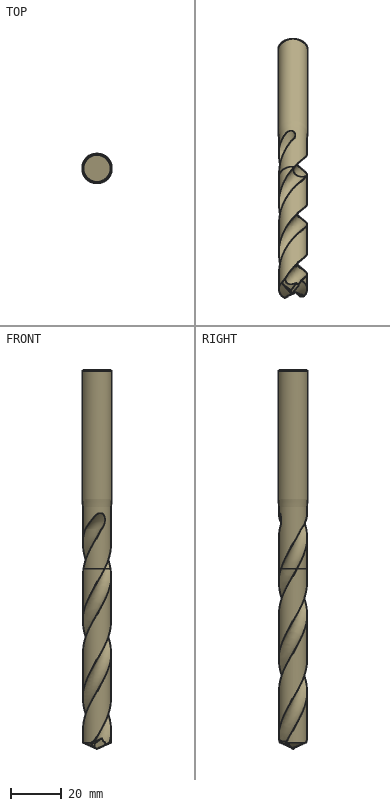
import cadquery as cq
import math

total_length = 151.0
shank_diameter = 12.0
drill_diameter = 11.3
shank_start = 99.7
neck_start = 96.3
split_height = 71.7
point_height = 2.5
shank_chamfer = 0.6

flute_count = 2
flute_lead = 61.5
flute_radius = 3.5
core_radius = 1.8
flute_side_height = 13.9
flute_helix_end = 87.6
runout_height = 3.9
runout_side_slope = 1.28
cutter_margin = 1.5

shank_radius = shank_diameter / 2
drill_radius = drill_diameter / 2
flute_offset = core_radius + flute_radius

web_half_thickness = 0.3
gash_yaw = -20.0
gash_heel = -0.8
gash_heel_height = 2.3
gash_peak = 2.7
gash_peak_height = 4.7
gash_side = 3.6
gash_side_height = 2.7


def flute_angle(height):
    """Direction in degrees that the first flute faces at a height."""
    return 180 + 360 * (height - flute_side_height) / flute_lead


def helical_cutter(bottom, top):
    """Twisted round bar that follows the first flute between two heights."""
    length = top - bottom
    return (
        cq.Workplane("XY")
        .moveTo(flute_offset, 0)
        .circle(flute_radius)
        .twistExtrude(length, 360 * length / flute_lead)
        .rotate((0, 0, 0), (0, 0, 1), flute_angle(bottom))
        .translate((0, 0, bottom))
    )


def runout_cutter():
    """Round bar that leaves the helix sideways and curves out of the body."""
    travel = runout_height * math.hypot(1.5, runout_side_slope)
    lift = drill_radius + flute_radius - flute_offset
    bend_radius = (travel**2 + lift**2) / (2 * lift)
    bend_angle = math.degrees(2 * math.atan(lift / travel))
    pivot = (bend_radius, 0, 0)
    pivot_end = (bend_radius, 1.5, -runout_side_slope)
    return (
        cq.Workplane("XY", origin=(flute_offset, 0, flute_helix_end))
        .circle(flute_radius)
        .revolve(bend_angle, pivot, pivot_end)
        .rotate((0, 0, 0), (0, 0, 1), flute_angle(flute_helix_end))
    )


def gash_cutter():
    """Upright prism with a sloping roof that thins the web beside one flute."""
    return (
        cq.Workplane("XZ", origin=(0, -web_half_thickness, 0))
        .polyline([
            (gash_heel, 0),
            (gash_heel, gash_heel_height),
            (gash_peak, gash_peak_height),
            (gash_side, gash_side_height),
            (gash_side, 0),
        ])
        .close()
        .extrude(drill_radius)
        .rotate((0, 0, 0), (0, 0, 1), gash_yaw)
    )


def cut_around(body, cutter):
    """Cut one copy of the cutter per flute, evenly spaced about the axis."""
    for index in range(flute_count):
        turn = 360 * index / flute_count
        body = body.cut(cutter.rotate((0, 0, 0), (0, 0, 1), turn))
    return body


def make_cutting_end():
    """Pointed lower part of the drill."""
    blank = (
        cq.Workplane("XZ")
        .polyline([
            (0, 0),
            (drill_radius, point_height),
            (drill_radius, split_height),
            (0, split_height),
        ])
        .close()
        .revolve(360, (0, 0, 0), (0, 1, 0))
    )
    fluted = cut_around(blank, helical_cutter(-cutter_margin, split_height))
    return cut_around(fluted, gash_cutter())


def make_holder_end():
    """Upper part of the drill with the flute runouts, neck cone and shank."""
    blank = (
        cq.Workplane("XZ")
        .polyline([
            (0, split_height),
            (drill_radius, split_height),
            (drill_radius, neck_start),
            (shank_radius, shank_start),
            (shank_radius, total_length - shank_chamfer),
            (shank_radius - shank_chamfer, total_length),
            (0, total_length),
        ])
        .close()
        .revolve(360, (0, 0, 0), (0, 1, 0))
    )
    fluted = cut_around(blank, helical_cutter(split_height, flute_helix_end))
    return cut_around(fluted, runout_cutter())


cutting_end = make_cutting_end()
holder_end = make_holder_end()

result = cq.Compound.makeCompound([cutting_end.val(), holder_end.val()])